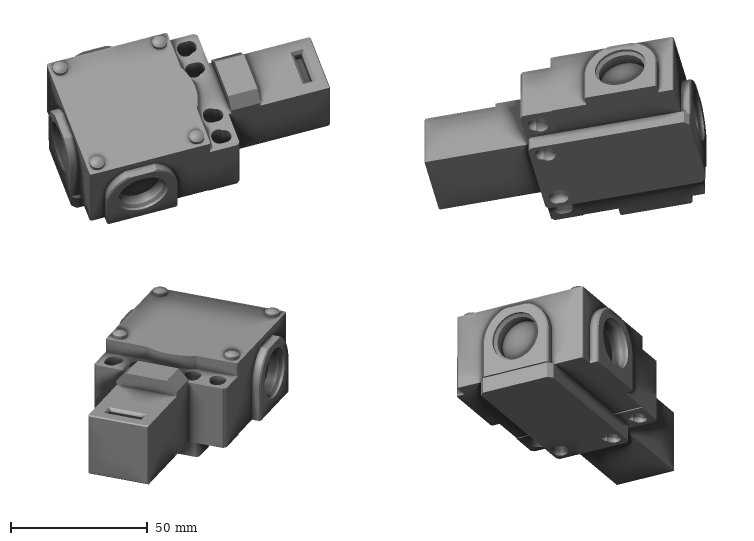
import cadquery as cq

housing_width = 52.3
housing_height = 29.1
block_front = 3.4
block_back = 49.6
block_corner_radius = 0.7
crown_half_chord = 9.7
crown_rise = 2.4

flange_back = 61.1
flange_top = 23.8
flange_foot = 0.3
flange_corner = 1.1

head_width = 23.8
neck_back = 64.4
neck_gap_bottom = 6.0
neck_gap_top = 17.8

overall_width = 59.0
boss_radius = 13.5
boss_top = 25.8
boss_chamfer = 0.5
side_boss_y = 22.5
entry_mouth_diameter = 19.0
entry_mouth_depth = 1.0
entry_bore_diameter = 17.0
entry_cone_depth = 1.0
entry_depth = 6.0

screw_diameter = 5.5
screw_side_height = 1.3
screw_dome_height = 1.0
screw_x = 22.2
screw_rows = (7.4, 45.5)

hole_diameter = 5.5
hole_centres_x = (11.0, 20.9)
hole_y = 56.5
hole_lobe_x = 0.9
hole_lobe_y = 1.8

collar_front = 62.2
collar_back = 73.4
collar_top = 29.4
collar_chamfer = 3.9

head_back = 100.1
head_end_chamfer = 0.4
window_length = 15.0
window_width = 5.0
window_y = 93.5
window_depth = 4.0
window_bevel = 1.1

base_width = 30.0
base_offset_x = -0.25
base_front = 0.3
base_back = 60.6
base_bottom = -6.3
base_corner = 1.7
base_hole_shift_x = -0.6
base_hole_shift_y = -0.7


def box(width, y_front, y_back, z_bottom, z_top):
    """Block centred on X, between the given Y and Z limits."""
    block = cq.Workplane("XY").box(width, y_back - y_front, z_top - z_bottom, centered=(True, False, False))
    return block.translate((0, y_front, z_bottom))


def mounting_holes(z_bottom, z_top):
    """Two mirrored pairs of L-shaped clearance holes as solid cutters."""
    lobe_y = hole_y - hole_lobe_y
    slot_length = hole_diameter + hole_lobe_y
    foot_length = hole_diameter + hole_lobe_x
    height = z_top - z_bottom
    cutters = cq.Workplane("XY")
    for side in (-1, 1):
        for centre_x in hole_centres_x:
            slot_y = (hole_y + lobe_y) / 2
            slot = cq.Workplane("XY").slot2D(slot_length, hole_diameter, 90).extrude(height)
            cutters = cutters.union(slot.translate((side * centre_x, slot_y, z_bottom)))
            foot_x = side * (centre_x - hole_lobe_x / 2)
            foot = cq.Workplane("XY").slot2D(foot_length, hole_diameter).extrude(height)
            cutters = cutters.union(foot.translate((foot_x, lobe_y, z_bottom)))
    return cutters


def boss(protrusion):
    """Arched boss on the plane Y = 0, facing -Y, with a flat cut across the arch."""
    arch = cq.Workplane("XZ").center(0, boss_radius).circle(boss_radius).extrude(protrusion)
    legs = cq.Workplane("XZ").center(0, boss_radius / 2).rect(2 * boss_radius, boss_radius).extrude(protrusion)
    body = arch.union(legs).faces("<Y").edges("not <Z").chamfer(boss_chamfer)
    return body.intersect(box(2 * boss_radius, -protrusion, 0, 0, boss_top))


def entry_bore():
    """Stepped blind bore as a solid of revolution, mouth at Y = 0, running along +Y."""
    mouth = entry_mouth_diameter / 2
    bore = entry_bore_diameter / 2
    profile = [
        (0, 0),
        (mouth, 0),
        (mouth, entry_mouth_depth),
        (bore, entry_mouth_depth + entry_cone_depth),
        (bore, entry_depth),
        (0, entry_depth),
    ]
    cutter = cq.Workplane("XY").polyline(profile).close().revolve(360, (0, 0, 0), (0, 1, 0))
    return cutter.translate((0, 0, boss_radius))


def screw_heads():
    """Domed screw heads standing on the lid."""
    radius = screw_diameter / 2
    dome_radius = (radius**2 + screw_dome_height**2) / (2 * screw_dome_height)
    screw_height = screw_side_height + screw_dome_height
    dome = cq.Workplane("XZ").sphere(dome_radius).translate((0, 0, screw_height - dome_radius))
    head = cq.Workplane("XY").circle(radius).extrude(screw_height).intersect(dome)
    heads = cq.Workplane("XY")
    for x in (-screw_x, screw_x):
        for y in screw_rows:
            heads = heads.union(head.translate((x, y, housing_height)))
    return heads


def make_housing():
    block = box(housing_width, block_front, block_back, 0, housing_height)
    block = block.edges("|Z").fillet(block_corner_radius)
    crown = (
        cq.Workplane("XY")
        .workplane(offset=flange_top)
        .moveTo(-crown_half_chord, block_back)
        .threePointArc((0, block_back + crown_rise), (crown_half_chord, block_back))
        .lineTo(crown_half_chord, block_back - crown_rise)
        .lineTo(-crown_half_chord, block_back - crown_rise)
        .close()
        .extrude(housing_height - flange_top)
    )

    flange_front = block_back - block_corner_radius
    flange = box(housing_width, flange_front, flange_back, -flange_foot, flange_top)
    flange = flange.edges("|Z and >Y").chamfer(flange_corner)

    neck = box(head_width, flange_back - flange_corner, neck_back, 0, flange_top)
    neck = neck.cut(box(head_width, collar_front, neck_back, neck_gap_bottom, neck_gap_top))

    body = block.union(crown).union(flange).union(neck).union(screw_heads())

    origin = (0, 0, 0)
    z_direction = (0, 0, 1)
    side_plane = housing_width / 2
    side_reach = overall_width / 2
    for angle, x, y, protrusion in (
        (0, 0, block_front, block_front),
        (-90, -side_plane, side_boss_y, side_reach - side_plane),
        (90, side_plane, side_boss_y, side_reach - side_plane),
    ):
        shape = boss(protrusion).rotate(origin, z_direction, angle).translate((x, y, 0))
        bore = entry_bore().translate((0, -protrusion, 0))
        bore = bore.rotate(origin, z_direction, angle).translate((x, y, 0))
        body = body.union(shape).cut(bore)

    return body.cut(mounting_holes(-flange_foot, flange_top))


def make_collar():
    collar = box(head_width, collar_front, collar_back, 0, collar_top)
    collar = collar.edges("|Y and >Z").chamfer(collar_chamfer)
    for bottom, top in ((0, neck_gap_bottom), (neck_gap_top, flange_top)):
        collar = collar.cut(box(head_width, collar_front, neck_back, bottom, top))
    return collar


def make_head():
    head = box(head_width, collar_back, head_back, 0, flange_top)
    head = head.faces(">Y").chamfer(head_end_chamfer)

    inner_length = window_length - 2 * window_bevel
    inner_width = window_width - 2 * window_bevel
    mouth = (
        cq.Workplane("XY")
        .workplane(offset=flange_top)
        .center(0, window_y)
        .rect(window_length, window_width)
        .workplane(offset=-window_bevel)
        .rect(inner_length, inner_width)
        .loft(ruled=True)
    )
    pocket = cq.Workplane("XY").box(inner_length, inner_width, window_depth, centered=(True, True, False))
    pocket = pocket.translate((0, window_y, flange_top - window_depth))
    return head.cut(mouth).cut(pocket)


def make_base():
    base = box(base_width, base_front, base_back, base_bottom, -flange_foot)
    base = base.edges("|Z and <Y").chamfer(base_corner)
    base = base.edges("|Z and >Y").fillet(base_corner)
    base = base.translate((base_offset_x, 0, 0))
    holes = mounting_holes(base_bottom, -flange_foot)
    return base.cut(holes.translate((base_hole_shift_x, base_hole_shift_y, 0)))


housing = make_housing()
collar = make_collar()
head = make_head()
base = make_base()

result = cq.Compound.makeCompound([housing.val(), collar.val(), head.val(), base.val()])